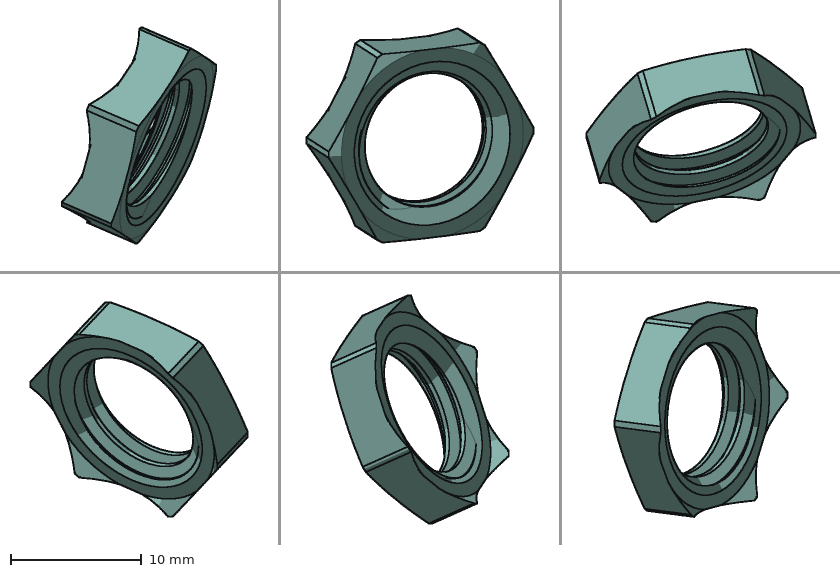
import cadquery as cq
import math

height = 4.52
across_flats = 15.0
corner_radius = 8.52
recess_depth = 1.04
recess_floor_radius = 7.57
back_chamfer_depth = 0.2
back_face_radius = 7.57

pitch = 1.5
major_radius = 6.0
minor_radius = 5.2
flank_half_angle = 30.0
root_flat = pitch / 8
thread_start_angle = 60.0

mouth_radius = 6.48
countersink_angle = 65.0

margin = 0.17


def turned(points):
    """Revolve an (axial, radial) outline about the X axis."""
    return cq.Workplane("XY").polyline(points).close().revolve(360, (0, 0, 0), (1, 0, 0))


def hexagon_body():
    across_corners = across_flats / math.cos(math.pi / 6)
    hexagon = cq.Workplane("YZ").polygon(6, across_corners).extrude(height)
    envelope = turned([
        (recess_depth, 0),
        (recess_depth, recess_floor_radius),
        (0, corner_radius),
        (height - back_chamfer_depth, corner_radius),
        (height, back_face_radius),
        (height, 0),
    ])
    return hexagon.intersect(envelope)


def bore():
    return turned([(-margin, 0), (-margin, minor_radius), (height + margin, minor_radius), (height + margin, 0)])


def countersink(face_x, inward):
    """Cone opening at the end face; inward is +1 or -1, the axial direction into the nut."""
    outer_radius = mouth_radius + margin
    axial_per_radial = inward / math.tan(math.radians(countersink_angle))
    mouth_x = face_x - margin * axial_per_radial
    apex_x = mouth_x + outer_radius * axial_per_radial
    return turned([(mouth_x, 0), (mouth_x, outer_radius), (apex_x, 0)])


def thread_groove():
    """Right-handed helical groove that runs out past both ends of the bore."""
    inner_radius = minor_radius - margin
    root_half = root_flat / 2
    mouth_half = root_half + (major_radius - inner_radius) * math.tan(math.radians(flank_half_angle))
    length = height - recess_depth + 3 * pitch
    helix = cq.Wire.makeHelix(pitch, length, inner_radius)
    profile = cq.Workplane("XZ").polyline([
        (inner_radius, -mouth_half),
        (major_radius, -root_half),
        (major_radius, root_half),
        (inner_radius, mouth_half),
    ]).close()
    groove = profile.sweep(cq.Workplane(obj=helix), isFrenet=True)
    return (
        groove.rotate((0, 0, 0), (0, 0, 1), thread_start_angle)
        .rotate((0, 0, 0), (0, 1, 0), 90)
        .translate((recess_depth - 1.5 * pitch, 0, 0))
    )


result = hexagon_body().cut(thread_groove()).cut(bore())
result = result.cut(countersink(height, -1)).cut(countersink(recess_depth, 1))